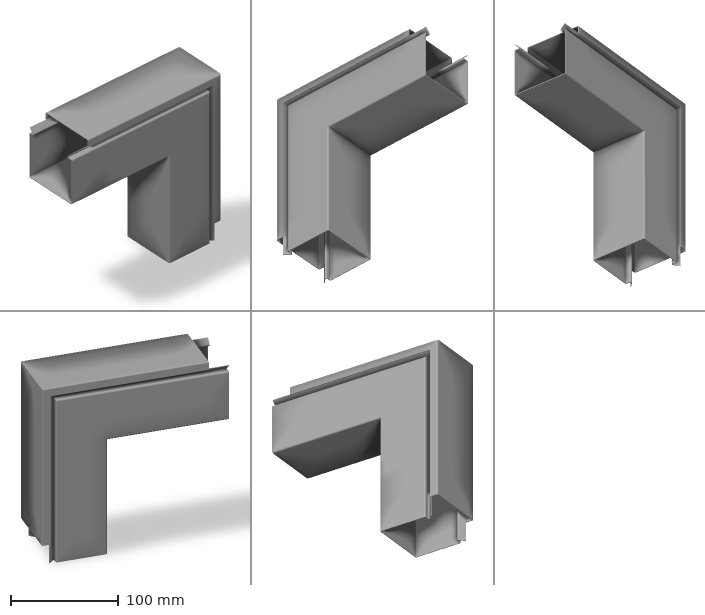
import cadquery as cq
import math

width = 60.0
depth = 64.0
horizontal_length = 183.8
vertical_length = 184.0
channel_overhang = 19.9
sheet = 0.7
outer_bend = 1.5
cover_wall_depth = 8.5
ledge_depth = 13.8
lip_bend_inset = 4.8
lip_angle = 45.0

half_width = width / 2
inner_bend = outer_bend - sheet
lip_run = math.cos(math.radians(lip_angle))
lip_rise = math.sin(math.radians(lip_angle))
mitre_normal = cq.Vector(0, 1, -1)


def channel_half_section():
    """Right half of the channel: floor, side wall, ledge, and round-ended lip rising to the cover wall."""
    wall_inside = half_width - sheet
    bend_x = half_width - outer_bend
    floor_bend_z = outer_bend - depth
    ledge_bend_z = -ledge_depth - outer_bend
    lip_x = half_width - lip_bend_inset
    lip_z = inner_bend - ledge_depth

    end_radius = sheet / 2
    end_x = wall_inside - end_radius
    middle_x = lip_x - (inner_bend + end_radius) * lip_rise
    middle_z = lip_z + (inner_bend + end_radius) * lip_run
    end_z = middle_z + (end_x - middle_x) * lip_rise / lip_run

    def across(x, z, offset):
        """Point moved square to the lip, towards its upper side."""
        return (x - offset * lip_rise, z + offset * lip_run)

    return (
        cq.Workplane("XZ")
        .moveTo(0, -depth)
        .lineTo(bend_x, -depth)
        .tangentArcPoint((half_width, floor_bend_z), relative=False)
        .lineTo(half_width, ledge_bend_z)
        .tangentArcPoint((bend_x, -ledge_depth), relative=False)
        .lineTo(lip_x, -ledge_depth)
        .tangentArcPoint(across(lip_x, lip_z, inner_bend), relative=False)
        .lineTo(*across(end_x, end_z, -end_radius))
        .tangentArcPoint(across(end_x, end_z, end_radius), relative=False)
        .lineTo(*across(lip_x, lip_z, outer_bend))
        .tangentArcPoint((lip_x, -ledge_depth - sheet), relative=False)
        .lineTo(bend_x, -ledge_depth - sheet)
        .tangentArcPoint((wall_inside, ledge_bend_z), relative=False)
        .lineTo(wall_inside, floor_bend_z)
        .tangentArcPoint((bend_x, sheet - depth), relative=False)
        .lineTo(0, sheet - depth)
        .close()
    )


def cover_half_section():
    """Right half of the cover: flat plate with a short side wall."""
    wall_inside = half_width - sheet
    bend_x = half_width - outer_bend
    return (
        cq.Workplane("XZ")
        .lineTo(bend_x, 0)
        .tangentArcPoint((half_width, -outer_bend), relative=False)
        .lineTo(half_width, -cover_wall_depth)
        .lineTo(wall_inside, -cover_wall_depth)
        .lineTo(wall_inside, -outer_bend)
        .tangentArcPoint((bend_x, -sheet), relative=False)
        .lineTo(0, -sheet)
        .close()
    )


def mitred_leg(half_section, length):
    """Horizontal leg of a symmetric section, cut at 45 degrees where it meets the vertical leg."""
    half = half_section.extrude(length)
    leg = half.union(half.mirror("YZ"))
    mitre_side = (
        cq.Workplane("YZ")
        .polyline([(0, 0), (-length, 0), (-length, -length)])
        .close()
        .extrude(half_width, both=True)
    )
    return leg.intersect(mitre_side)


def turned_down(leg):
    """Vertical leg that mirrors a horizontal one in the mitre plane."""
    return leg.mirror(mitre_normal)


def elbow_cover():
    """Cover bent around the outside of the elbow, as one piece."""
    horizontal = mitred_leg(cover_half_section(), horizontal_length - channel_overhang)
    vertical = mitred_leg(cover_half_section(), vertical_length - channel_overhang)
    return horizontal.union(turned_down(vertical))


horizontal_channel = mitred_leg(channel_half_section(), horizontal_length)
vertical_channel = turned_down(mitred_leg(channel_half_section(), vertical_length))
cover = elbow_cover()

result = cq.Compound.makeCompound([horizontal_channel.val(), vertical_channel.val(), cover.val()])